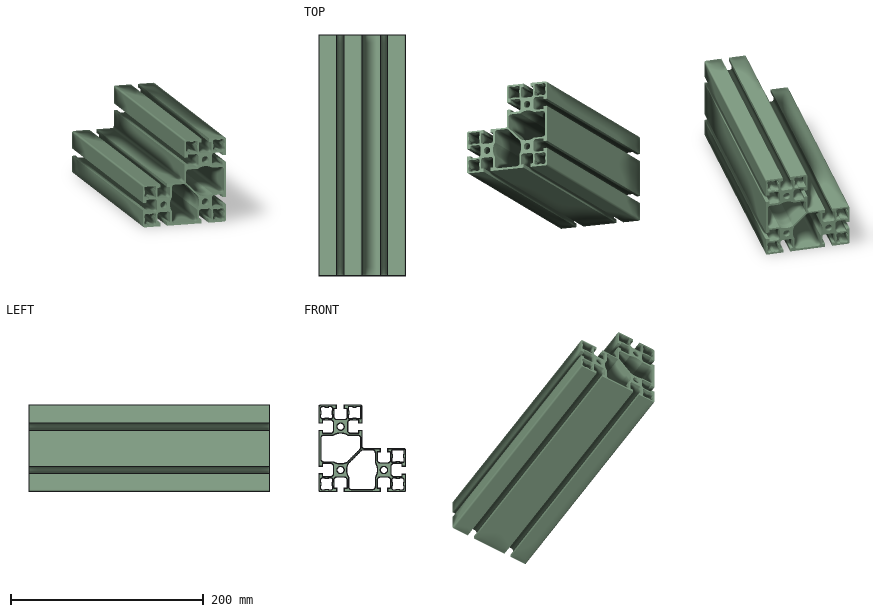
import cadquery as cq
import math

LENGTH = 250.0
CELL = 45.0
SIZE = 2 * CELL
NEAR = CELL / 2
FAR = SIZE - NEAR
ARM_WIDTH = 44.8

BORE_DIAMETER = 7.2
SLOT_OPENING = 7.5
END_SLOT_RELIEF = 0.5
SLOT_WIDTH = 13.5
SLOT_DEPTH = 15.0
LIP_THICKNESS = 3.8
SLOT_FLOOR_FILLET = 2.5
CORNER_FILLET = 1.8
INNER_CORNER_FILLET = 2.2

THIN_WALL = 1.8
CHAMBER_SIZE = 12.5
CHAMBER_FILLET = 2.0
RIDGE_WIDTH = 3.5
RIDGE_HEIGHT = 0.62

OUTER_WALL = 2.2
NEAR_WALL_REACH = 8.5
NEAR_ARCH_REACH = 6.5
FAR_WALL_REACH = 9.0
FAR_ARCH_REACH = 6.8
ARCH_HALF_WIDTH = 7.8
WEB_THICKNESS = 1.8
CAVITY_FILLET = 2.8

RIGHT, UP, LEFT, DOWN = 0, 90, 180, 270
CELL_SLOTS = [
    (NEAR, FAR, (RIGHT, UP, LEFT)),
    (NEAR, NEAR, (LEFT, DOWN)),
    (FAR, NEAR, (RIGHT, UP, DOWN)),
]


def sketch_plane():
    """XZ plane at Y = LENGTH; extruding from it runs along -Y to the end face at Y = 0."""
    return cq.Workplane("XZ", origin=(0, LENGTH, 0))


def box(x_min, x_max, z_min, z_max):
    """Full-length rectangular bar."""
    return (
        sketch_plane()
        .center((x_min + x_max) / 2, (z_min + z_max) / 2)
        .rect(x_max - x_min, z_max - z_min)
        .extrude(LENGTH)
    )


def fillet_at(body, points, radius):
    """Round the lengthwise edges passing through the given (x, z) points."""
    for x, z in points:
        edge = cq.selectors.NearestToPointSelector((x, LENGTH / 2, z))
        body = body.edges("|Y").edges(edge).fillet(radius)
    return body


def outer_body():
    """Solid L with rounded outer corners and a rounded inner corner."""
    inner_corner = (ARM_WIDTH, ARM_WIDTH)
    lower_corners = [(0, 0), (SIZE, 0), (SIZE, ARM_WIDTH)]
    upper_corners = [(ARM_WIDTH, SIZE), (0, SIZE)]
    outline = lower_corners + [inner_corner] + upper_corners
    body = sketch_plane().polyline(outline).close().extrude(LENGTH)
    body = fillet_at(body, lower_corners + upper_corners, CORNER_FILLET)
    return fillet_at(body, [inner_corner], INNER_CORNER_FILLET)


def t_slot(x, z, direction):
    """T-slot void of the cell centred at (x, z), opening in the given direction."""
    face = CELL / 2
    floor = face - SLOT_DEPTH
    half_width = SLOT_WIDTH / 2
    half_opening = SLOT_OPENING / 2
    channel = box(floor, face - LIP_THICKNESS, -half_width, half_width)
    channel = fillet_at(channel, [(floor, -half_width), (floor, half_width)], SLOT_FLOOR_FILLET)
    slot = channel.union(box(floor, face, -half_opening, half_opening))
    return slot.rotate((0, 0, 0), (0, 1, 0), -direction).translate((x, 0, z))


def end_slot_reliefs():
    """Wider opening of the two end slots, on the lip nearer the outer faces of the L."""
    edge = NEAR - SLOT_OPENING / 2
    relieved_edge = edge - END_SLOT_RELIEF
    lip_start = SIZE - LIP_THICKNESS
    top_relief = box(relieved_edge, edge, lip_start, SIZE)
    right_relief = box(lip_start, SIZE, relieved_edge, edge)
    return top_relief.add(right_relief).combine()


def chamber(x_side, z_side, x, z, sharp_side=None):
    """Void in one corner of the cell at (x, z).

    A chamber with a sharp side has no fillets, and no ridge on that side.
    """
    offset = CELL / 2 - THIN_WALL - CHAMBER_SIZE / 2
    half = CHAMBER_SIZE / 2
    void = box(-half, half, -half, half)
    if sharp_side is None:
        void = void.edges("|Y").fillet(CHAMBER_FILLET)
    ridge = box(half - RIDGE_HEIGHT, half, -RIDGE_WIDTH / 2, RIDGE_WIDTH / 2)
    for side in (RIGHT, UP, LEFT, DOWN):
        if side != sharp_side:
            void = void.cut(ridge.rotate((0, 0, 0), (0, 1, 0), -side))
    return void.translate((x + x_side * offset, 0, z + z_side * offset))


def upper_cavity():
    """Void above the diagonal web, arched around the bores of the two cells it touches."""
    left = OUTER_WALL
    right = CELL - THIN_WALL
    bottom = NEAR + NEAR_WALL_REACH
    top = FAR - FAR_WALL_REACH
    web_offset = WEB_THICKNESS / math.sqrt(2)
    arch_start = NEAR - ARCH_HALF_WIDTH
    arch_end = NEAR + ARCH_HALF_WIDTH
    cavity = (
        sketch_plane()
        .moveTo(left, bottom)
        .lineTo(arch_start, bottom)
        .threePointArc((NEAR, NEAR + NEAR_ARCH_REACH), (arch_end, bottom))
        .lineTo(right, bottom)
        .lineTo(right, top)
        .lineTo(arch_end, top)
        .threePointArc((NEAR, FAR - FAR_ARCH_REACH), (arch_start, top))
        .lineTo(left, top)
        .close()
        .extrude(LENGTH)
    )
    below_web = (
        sketch_plane()
        .polyline([(0, web_offset), (SIZE, SIZE + web_offset), (SIZE, 0), (0, 0)])
        .close()
        .extrude(LENGTH)
    )
    cavity = cavity.cut(below_web)
    return fillet_at(cavity, [(left, bottom), (right, top), (left, top)], CAVITY_FILLET)


def lower_cavity():
    """The upper cavity reflected across the plane X = Z."""
    return upper_cavity().mirror("XY").rotate((0, 0, 0), (0, 1, 0), -90)


result = outer_body()

for cell_x, cell_z, directions in CELL_SLOTS:
    bore = sketch_plane().center(cell_x, cell_z).circle(BORE_DIAMETER / 2).extrude(LENGTH)
    result = result.cut(bore)
    for slot_direction in directions:
        result = result.cut(t_slot(cell_x, cell_z, slot_direction))

result = result.cut(chamber(-1, -1, NEAR, NEAR))
result = result.cut(chamber(-1, 1, NEAR, FAR))
result = result.cut(chamber(1, -1, FAR, NEAR))
result = result.cut(chamber(1, 1, NEAR, FAR, sharp_side=RIGHT))
result = result.cut(chamber(1, 1, FAR, NEAR, sharp_side=UP))

result = result.cut(end_slot_reliefs())
result = result.cut(upper_cavity()).cut(lower_cavity())